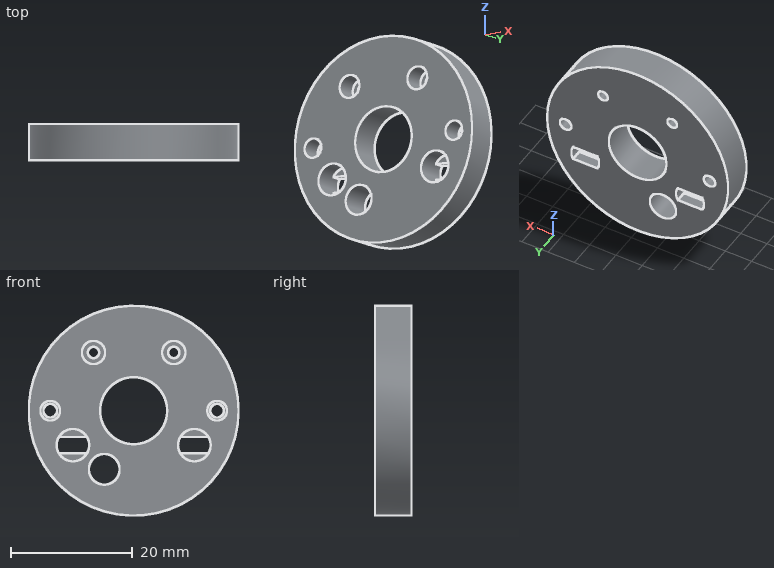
import cadquery as cq

DISC_DIAMETER = 34.55
THICKNESS = 6.0
CENTRE_BORE_DIAMETER = 11.0

RECESS_FLOOR = 2.0
RECESS_DEPTH = THICKNESS - RECESS_FLOOR

UPPER_SCREW_X = 6.6
UPPER_SCREW_Z = 9.57
UPPER_SCREW_HOLE = 1.83
UPPER_SCREW_COUNTERBORE = 3.85

SIDE_SCREW_X = 13.72
SIDE_SCREW_Z = 0.0
SIDE_SCREW_HOLE = 2.2
SIDE_SCREW_COUNTERBORE = 3.25

POCKET_X = 10.0
POCKET_Z = -5.67
POCKET_DIAMETER = 5.32
SLOT_HEIGHT = 2.63

CABLE_HOLE_X = -4.85
CABLE_HOLE_Z = -9.65
CABLE_HOLE_DIAMETER = 5.0

FRONT_Y = -THICKNESS / 2


def cylinder(x, z, diameter, depth):
    """Solid cylinder running back from the front face."""
    plane = cq.Workplane("XZ", origin=(x, FRONT_Y, z))
    return plane.circle(diameter / 2).extrude(-depth)


def counterbored_hole(x, z, hole_diameter, counterbore_diameter):
    """Through hole joined to its wider recess in the front face."""
    hole = cylinder(x, z, hole_diameter, THICKNESS)
    return hole.union(cylinder(x, z, counterbore_diameter, RECESS_DEPTH))


def slotted_pocket(x, z):
    """Round recess joined to a through slot that ends on the recess wall."""
    slot_block = cq.Workplane("XY").box(POCKET_DIAMETER, THICKNESS, SLOT_HEIGHT).translate((x, 0, z))
    slot = cylinder(x, z, POCKET_DIAMETER, THICKNESS).intersect(slot_block)
    return cylinder(x, z, POCKET_DIAMETER, RECESS_DEPTH).union(slot)


result = cylinder(0, 0, DISC_DIAMETER, THICKNESS)
result = result.cut(cylinder(0, 0, CENTRE_BORE_DIAMETER, THICKNESS))
result = result.cut(cylinder(CABLE_HOLE_X, CABLE_HOLE_Z, CABLE_HOLE_DIAMETER, THICKNESS))

for side in (-1, 1):
    result = result.cut(
        counterbored_hole(side * UPPER_SCREW_X, UPPER_SCREW_Z, UPPER_SCREW_HOLE, UPPER_SCREW_COUNTERBORE)
    )
    result = result.cut(
        counterbored_hole(side * SIDE_SCREW_X, SIDE_SCREW_Z, SIDE_SCREW_HOLE, SIDE_SCREW_COUNTERBORE)
    )
    result = result.cut(slotted_pocket(side * POCKET_X, POCKET_Z))